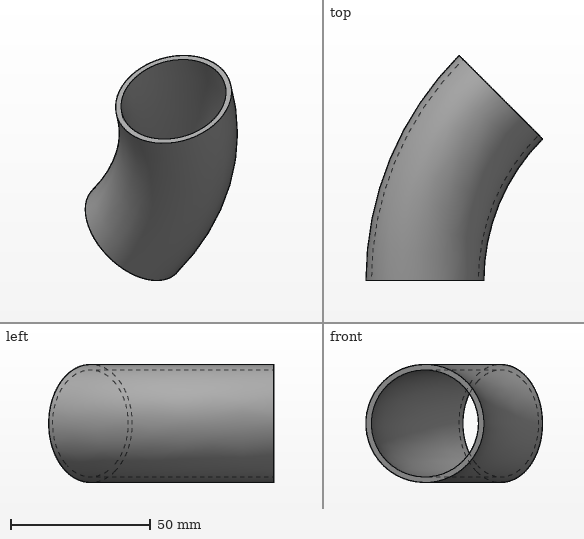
import cadquery as cq
import math

bend_angle = 45.0
outer_diameter = 42.4
wall_thickness = 2.0
overall_length = 80.75

outer_radius = outer_diameter / 2
inner_radius = outer_radius - wall_thickness

bend_radius = overall_length / math.sin(math.radians(bend_angle)) - outer_radius


def make_elbow():
    """Sweep the pipe's ring section around a vertical axis on the +X side."""
    ring = cq.Workplane("XZ").circle(outer_radius).circle(inner_radius)
    axis_start = (bend_radius, 0)
    axis_end = (bend_radius, -1)
    return ring.revolve(bend_angle, axis_start, axis_end)


result = make_elbow()